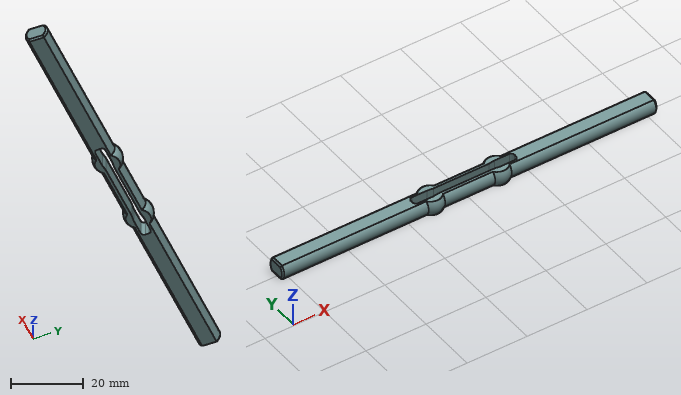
import cadquery as cq

rod_length = 125.0
rod_diameter = 6.6
thickness_over_flats = 5.0
end_chamfer = 0.5

ball_height = 1.0
ball_diameter = rod_diameter + 2 * ball_height
ball_spacing = 22.2

slot_length = 34.5
slot_end_width = 3.0
slot_middle_width = 2.5
slot_middle_length = 18.5
slot_taper_length = 2.0
slot_corner_radius = 1.0


def make_round_bar():
    """Plain round bar along X, centred on the origin."""
    return cq.Workplane("YZ").circle(rod_diameter / 2).extrude(rod_length / 2, both=True)


def make_ball(center_x):
    """Ball centred on the rod axis."""
    return cq.Workplane("XY").sphere(ball_diameter / 2).translate((center_x, 0, 0))


def make_flats_envelope():
    """Block whose top and bottom faces are the two flats."""
    return cq.Workplane("XY").box(rod_length, ball_diameter, thickness_over_flats)


def make_slot():
    """Through-slot tool with tapered steps in width and rounded end corners."""
    middle_x = slot_middle_length / 2
    taper_x = middle_x + slot_taper_length
    end_x = slot_length / 2
    middle_y = slot_middle_width / 2
    end_y = slot_end_width / 2
    back_wall = [
        (end_x, end_y),
        (taper_x, end_y),
        (middle_x, middle_y),
        (-middle_x, middle_y),
        (-taper_x, end_y),
        (-end_x, end_y),
    ]
    front_wall = [(x, -y) for x, y in reversed(back_wall)]
    slot = (
        cq.Workplane("XY")
        .polyline(back_wall + front_wall)
        .close()
        .extrude(thickness_over_flats / 2, both=True)
    )
    return slot.edges("|Z and (<X or >X)").fillet(slot_corner_radius)


rod = make_round_bar()
for side in (-1, 1):
    rod = rod.union(make_ball(side * ball_spacing / 2))
rod = rod.intersect(make_flats_envelope())
rod = rod.faces("<X or >X").chamfer(end_chamfer)
result = rod.cut(make_slot())